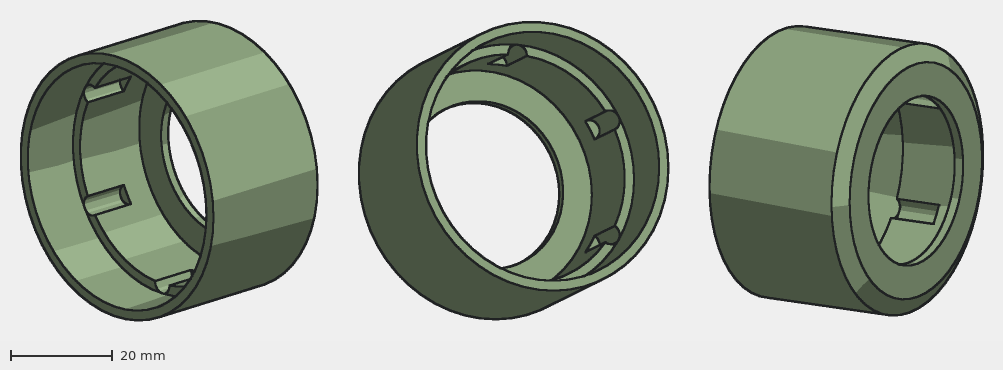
import cadquery as cq

length = 30.9
outer_radius = 27.0
mouth_radius = 25.0
bore_radius = 23.0
hole_radius = 16.85
mouth_depth = 12.55
floor_thickness = 2.0
chamfer_length = 2.0
chamfer_width = 3.45

groove_count = 6
groove_radius = mouth_radius - bore_radius
groove_length = 10.0


def cylinder(radius, start, depth):
    """Cylinder about the Y axis, running from start towards +Y."""
    return cq.Workplane("XZ", origin=(0, start, 0)).circle(radius).extrude(-depth)


def ring_body():
    """Stepped ring with a bevelled, partly closed rear end."""
    profile = [
        (mouth_radius, 0),
        (outer_radius, 0),
        (outer_radius, length - chamfer_length),
        (outer_radius - chamfer_width, length),
        (hole_radius, length),
        (hole_radius, length - floor_thickness),
        (bore_radius, length - floor_thickness),
        (bore_radius, mouth_depth),
        (mouth_radius, mouth_depth),
    ]
    return cq.Workplane("XY").polyline(profile).close().revolve(360, (0, 0, 0), (0, 1, 0))


def bore_grooves():
    """Grooves centred on the bore wall, starting at the mouth shoulder."""
    groove = cylinder(groove_radius, mouth_depth, groove_length).translate((0, 0, bore_radius))
    cutters = cq.Workplane("XY")
    for index in range(groove_count):
        angle = index * 360 / groove_count
        cutters = cutters.add(groove.rotate((0, 0, 0), (0, 1, 0), angle))
    return cutters.combine()


result = ring_body().cut(bore_grooves())